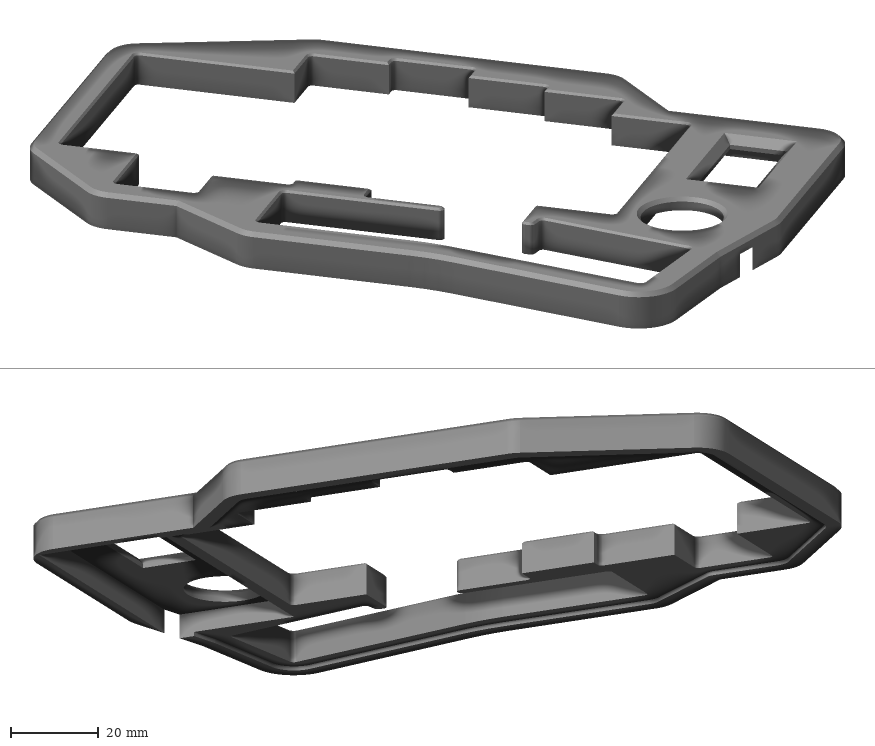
import cadquery as cq
import math

THICKNESS = 8.7
LENGTH = 177.8
DEPTH = 126.8

KEY_PITCH = 19.0
KEY_CLEARANCE = 0.4
GRID_LEFT = 7.3
COLUMN_TOPS = [105.1, 105.1, 116.5, 119.5, 114.5, 111.7, 102.3]
COLUMN_ROWS = [3, 4, 4, 4, 4, 4, 3]
GAP_COLUMN = 5
THUMB_COLUMN = 3

THUMB_TOP = 35.4
THUMB_TILT = math.radians(10)
TILTED_TOP_RIGHT = (163.6, 30.8)
TILTED_LENGTH = 2 * KEY_PITCH + 2 * KEY_CLEARANCE
TILTED_WIDTH = 1.25 * KEY_PITCH + 2 * KEY_CLEARANCE
PRONG_TIP_Y = 33.6

KEY_CORNER_RADIUS = 1.0
TIP_RADIUS = 1.0
BEND_RADIUS = 57.0
OUTER_CHAMFER = 1.0
KEY_CHAMFER = 0.5

WINDOW_CENTER = (158.6, 84.7)
WINDOW_SIZE = (13.5, 25.6)
WINDOW_BEVEL = 2.0
KNOB_CENTER = (155.5, 49.6)
KNOB_DIAMETER = 19.0
KNOB_BEVEL = 0.9

RIM_WIDTH = 3.5
RIM_HEIGHT = 1.0

POCKET_LEFT = 144.0
POCKET_RIGHT = 174.6
POCKET_BOTTOM = 37.2
POCKET_TOP = 106.7
PANEL_THICKNESS = 3.0

LEFT_TOP_Y = 110.1
TOP_LEFT_X = 44.0
TOP_RIGHT_X = 116.7
SHOULDER_Y = 109.4
RIGHT_END_Y = 52.8
KNEE = (171.0, 29.5)
LOWER_RIGHT = (165.4, -1.6)
BEND_X = 108.3
BOTTOM_Y = 8.9
BOTTOM_LEFT_X = 63.1
LEDGE_RIGHT_X = 43.0
LEDGE_Y = 21.7
LEDGE_LEFT_X = 23.1
LARGE_RADIUS = 8.0
LOWER_RIGHT_RADIUS = 9.6


def rounded_outline(corners):
    """Closed outline through (x, y, radius) corners; radius 0 keeps a corner sharp."""
    stretches = []
    for i, (x, y, radius) in enumerate(corners):
        corner = cq.Vector(x, y)
        if radius == 0:
            stretches.append([corner])
            continue
        before = (cq.Vector(*corners[i - 1][:2]) - corner).normalized()
        after = (cq.Vector(*corners[(i + 1) % len(corners)][:2]) - corner).normalized()
        half_angle = before.getAngle(after) / 2
        tangent_length = radius / math.tan(half_angle)
        apex_distance = radius / math.sin(half_angle) - radius
        apex = corner + (before + after).normalized() * apex_distance
        stretches.append([corner + before * tangent_length, apex, corner + after * tangent_length])

    outline = cq.Workplane("XY").moveTo(*stretches[0][-1].toTuple()[:2])
    for stretch in stretches[1:] + stretches[:1]:
        outline = outline.lineTo(*stretch[0].toTuple()[:2])
        if len(stretch) == 3:
            outline = outline.threePointArc(stretch[1].toTuple()[:2], stretch[2].toTuple()[:2])
    return outline.close()


def column_left(column):
    return GRID_LEFT + column * KEY_PITCH - KEY_CLEARANCE


def column_right(column):
    return GRID_LEFT + (column + 1) * KEY_PITCH + KEY_CLEARANCE


def column_top(column):
    return COLUMN_TOPS[column] + KEY_CLEARANCE


def column_bottom(column):
    return COLUMN_TOPS[column] - COLUMN_ROWS[column] * KEY_PITCH - KEY_CLEARANCE


def stepped_edge(columns, level, outward):
    """Corners between neighbouring columns; outward is 1 along the tops, -1 along the bottoms."""
    corners = []
    for column, following in zip(columns, columns[1:]):
        rise = outward * (level(following) - level(column))
        if rise == 0:
            continue
        if rise > 0:
            x = column_left(following)
            radii = (0, KEY_CORNER_RADIUS)
        else:
            x = column_right(column)
            radii = (KEY_CORNER_RADIUS, 0)
        corners.append((x, level(column), radii[0]))
        corners.append((x, level(following), radii[1]))
    return corners


def tilted_corner(along, down):
    """Point of the tilted thumb block, measured back from and below its top right corner."""
    x = TILTED_TOP_RIGHT[0] - along * math.cos(THUMB_TILT) - down * math.sin(THUMB_TILT)
    y = TILTED_TOP_RIGHT[1] + along * math.sin(THUMB_TILT) - down * math.cos(THUMB_TILT)
    return x, y


def key_opening_corners():
    r = KEY_CORNER_RADIUS
    last = len(COLUMN_TOPS) - 1
    tops = stepped_edge(range(last + 1), column_top, 1)
    bottoms = stepped_edge(range(GAP_COLUMN), column_bottom, -1)

    block_top_left = tilted_corner(TILTED_LENGTH, 0)
    block_low_right = tilted_corner(0, TILTED_WIDTH)
    slot_bottom = THUMB_TOP - KEY_PITCH - KEY_CLEARANCE
    prong_right = block_top_left[0] - (block_top_left[1] - PRONG_TIP_Y) * math.tan(THUMB_TILT)
    bend_x = block_low_right[0] - (slot_bottom - block_low_right[1]) / math.tan(THUMB_TILT)
    prong_left = column_right(GAP_COLUMN)
    bar_tip = column_left(GAP_COLUMN) + KEY_CLEARANCE
    bar_bottom = THUMB_TOP + KEY_CLEARANCE

    corners = [(column_left(0), column_top(0), r)]
    corners += tops
    corners += [
        (column_right(last), column_top(last), r),
        (column_right(last), column_bottom(last), r),
        (prong_left, column_bottom(last), 0),
        (prong_left, PRONG_TIP_Y, TIP_RADIUS),
        (prong_right, PRONG_TIP_Y, TIP_RADIUS),
        (*block_top_left, r),
        (*TILTED_TOP_RIGHT, r),
        (*block_low_right, r),
        (bend_x, slot_bottom, BEND_RADIUS),
        (column_left(THUMB_COLUMN), slot_bottom, r),
        (column_left(THUMB_COLUMN), bar_bottom, r),
        (bar_tip, bar_bottom, TIP_RADIUS),
        (bar_tip, column_bottom(GAP_COLUMN - 1), TIP_RADIUS),
    ]
    corners += reversed(bottoms)
    corners.append((column_left(0), column_bottom(0), r))
    return corners


def outer_outline():
    shoulder_x = TOP_RIGHT_X + DEPTH - SHOULDER_Y
    left_bottom_y = LEDGE_Y + LEDGE_LEFT_X
    corners = [
        (0, left_bottom_y, LARGE_RADIUS),
        (0, LEFT_TOP_Y, LARGE_RADIUS),
        (TOP_LEFT_X, DEPTH, LARGE_RADIUS),
        (TOP_RIGHT_X, DEPTH, LARGE_RADIUS),
        (shoulder_x, SHOULDER_Y, 0),
        (LENGTH, SHOULDER_Y, LARGE_RADIUS),
        (LENGTH, RIGHT_END_Y, LARGE_RADIUS),
        (*KNEE, 0),
        (*LOWER_RIGHT, LOWER_RIGHT_RADIUS),
        (BEND_X, BOTTOM_Y, BEND_RADIUS),
        (BOTTOM_LEFT_X, BOTTOM_Y, LARGE_RADIUS),
        (LEDGE_RIGHT_X, LEDGE_Y, 0),
        (LEDGE_LEFT_X, LEDGE_Y, LARGE_RADIUS),
    ]
    return rounded_outline(corners)


def make_plate():
    plate = outer_outline().extrude(THICKNESS)
    plate = plate.faces(">Z").edges().chamfer(OUTER_CHAMFER)
    return plate.cut(outer_outline().offset2D(-RIM_WIDTH).extrude(RIM_HEIGHT))


def cut_key_opening(plate):
    plate = plate.cut(rounded_outline(key_opening_corners()).extrude(THICKNESS))
    rim = plate.faces(">Z").val().innerWires()[0]
    return plate.newObject(rim.Edges()).chamfer(KEY_CHAMFER)


def cut_underside_pocket(plate):
    pocket = cq.Workplane("XY").box(
        POCKET_RIGHT - POCKET_LEFT,
        POCKET_TOP - POCKET_BOTTOM,
        THICKNESS - PANEL_THICKNESS,
        centered=False,
    )
    return plate.cut(pocket.translate((POCKET_LEFT, POCKET_BOTTOM, 0)))


def cut_window(plate):
    window = cq.Workplane("XY").center(*WINDOW_CENTER).rect(*WINDOW_SIZE).extrude(THICKNESS)
    bevel = (
        cq.Workplane("XY", origin=(*WINDOW_CENTER, THICKNESS))
        .rect(WINDOW_SIZE[0] + 2 * WINDOW_BEVEL, WINDOW_SIZE[1] + 2 * WINDOW_BEVEL)
        .extrude(-WINDOW_BEVEL, taper=45)
    )
    return plate.cut(window).cut(bevel)


def cut_knob_hole(plate):
    return (
        plate.faces(">Z")
        .workplane(origin=(*KNOB_CENTER, THICKNESS))
        .cskHole(KNOB_DIAMETER, KNOB_DIAMETER + 2 * KNOB_BEVEL, 90)
    )


plate = make_plate()
plate = cut_key_opening(plate)
plate = cut_underside_pocket(plate)
plate = cut_window(plate)
result = cut_knob_hole(plate)